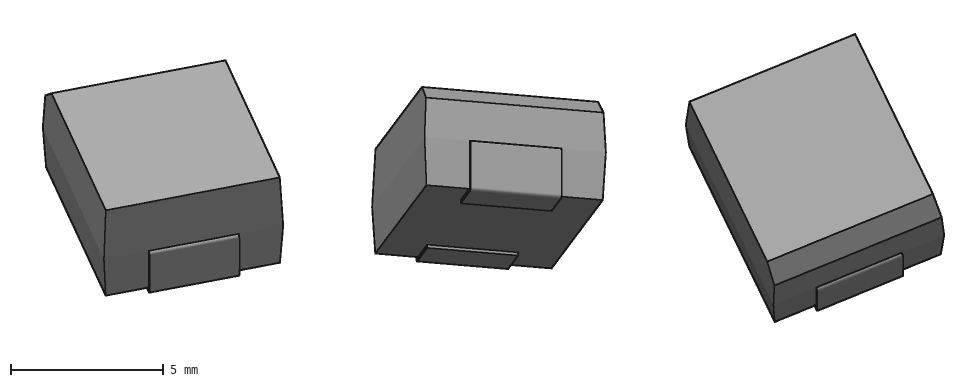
import cadquery as cq
import math

overall_length = 7.3
overall_width = 6.15
overall_height = 3.75

lead_thickness = 0.11
lead_width = 3.08
lead_bend_radius = 0.1
left_foot_length = 1.35
right_foot_length = 1.46

parting_height = 1.75
case_length = overall_length - 2 * lead_thickness
case_bottom = lead_thickness
draft_below = 3.0
draft_above = 2.6

bevel_length = 0.61
bevel_drop = 0.6


def drafted_half(end_height, draft_angle):
    """One half of the case, tapering from the parting plane to end_height."""
    inset = abs(end_height - parting_height) * math.tan(math.radians(draft_angle))
    return (
        cq.Workplane("XY", origin=(0, 0, parting_height))
        .rect(case_length, overall_width)
        .workplane(offset=end_height - parting_height)
        .rect(case_length - 2 * inset, overall_width - 2 * inset)
        .loft(ruled=True)
    )


def bevel_cutter():
    """Wedge that removes the top edge at -X, extended past the case on all open sides."""
    tan_draft = math.tan(math.radians(draft_above))
    top_inset = (overall_height - parting_height) * tan_draft
    low_inset = (overall_height - bevel_drop - parting_height) * tan_draft
    top_x = -case_length / 2 + top_inset + bevel_length
    low_x = -case_length / 2 + low_inset
    slope = bevel_drop / (top_x - low_x)
    reach_x = bevel_length
    reach_z = reach_x * slope
    return (
        cq.Workplane("XZ")
        .moveTo(top_x + reach_x, overall_height + reach_z)
        .lineTo(low_x - reach_x, overall_height - bevel_drop - reach_z)
        .lineTo(low_x - reach_x, overall_height + reach_z)
        .close()
        .extrude(overall_width / 2, both=True)
    )


def make_case():
    lower_half = drafted_half(case_bottom, draft_below)
    upper_half = drafted_half(overall_height, draft_above)
    return lower_half.union(upper_half).cut(bevel_cutter())


def make_lead(side, foot_length):
    """L-shaped lead on the -X (side = -1) or +X (side = +1) end of the case."""
    outer_x = side * overall_length / 2
    inner_x = side * case_length / 2
    foot_end_x = outer_x - side * foot_length
    lead = (
        cq.Workplane("XZ")
        .moveTo(foot_end_x, 0)
        .lineTo(outer_x, 0)
        .lineTo(outer_x, parting_height)
        .lineTo(inner_x, parting_height)
        .lineTo(inner_x, lead_thickness)
        .lineTo(foot_end_x, lead_thickness)
        .close()
        .extrude(lead_width / 2, both=True)
    )
    outer_end = ">X" if side > 0 else "<X"
    return lead.faces(outer_end).edges("<Z or >Z").fillet(lead_bend_radius)


case = make_case()
leads = [make_lead(side, foot) for side, foot in ((-1, left_foot_length), (1, right_foot_length))]

result = cq.Compound.makeCompound([case.val(), *[lead.val() for lead in leads]])